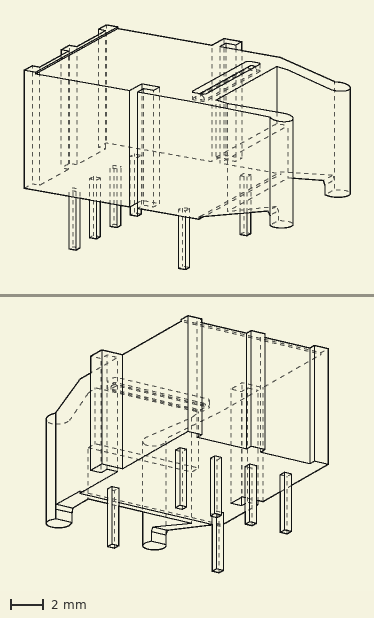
import cadquery as cq
import math

body_length = 12.22
body_width = 10.2
body_height = 7.5
mid_y = body_width / 2

plate_height = 7.61
plate_thickness = 0.8
rib_depth = 0.52
rib_width = 1.0

hook_x = 7.41
hook_neck = 0.55
hook_length = 1.25
hook_reach = 1.5
hook_lip = 0.75

window_x = 11.3
window_length = 7.0
window_width = 0.99
window_corner = 0.23
window_depth = 0.47
bar_length = 6.5
bar_width = 0.63

wall_x = 12.82
shelf_x = 13.6
shelf_height = body_height / 2

front_root_inset = 1.2
front_neck_inset = 1.15
front_tip_x = 17.16
front_tip_inset = 1.63
front_tip_radius = 0.72
back_root_inset = 1.47
back_neck_inset = 1.05
back_tip_x = 17.2
back_tip_inset = 1.62
back_tip_radius = 0.75
arm_neck_x = 16.62

taper_top_end = 6.8
overall_length = back_tip_x + back_tip_radius
taper_bottom_start_x = body_length + 0.05
taper_bottom_start_z = 0.15
taper_bottom_end_x = 16.5
taper_bottom_end_z = 0.9
notch_corner_z = 0.63

pin_size = 0.5
pin_drop = 3.79
pin_row_x = 2.8
pin_row_span = 7.61
pins_in_row = 4
pin_pitch = pin_row_span / (pins_in_row - 1)
outer_pins_x = 10.5


def block(x0, x1, y0, y1, z0, z1):
    return cq.Workplane("XY").box(x1 - x0, y1 - y0, z1 - z0, centered=False).translate((x0, y0, z0))


def hook(base_y):
    """L-shaped hook standing on the line y = base_y and opening toward +X."""
    outline = [
        (hook_x, base_y),
        (hook_x + hook_neck, base_y),
        (hook_x + hook_neck, base_y + hook_reach - hook_lip),
        (hook_x + hook_length, base_y + hook_reach - hook_lip),
        (hook_x + hook_length, base_y + hook_reach),
        (hook_x, base_y + hook_reach),
    ]
    return cq.Workplane("XY").polyline(outline).close().extrude(body_height)


def housing():
    solid = block(rib_depth, body_length, 0, body_width, 0, body_height)
    solid = solid.union(block(rib_depth, plate_thickness, 0, body_width, 0, plate_height))
    for rib_y in (0, mid_y - rib_width / 2, body_width - rib_width):
        solid = solid.union(block(0, plate_thickness, rib_y, rib_y + rib_width, 0, plate_height))
    return solid.union(hook(body_width)).cut(hook(0))


def window():
    floor_z = body_height - window_depth
    pocket = block(
        window_x - window_width / 2, window_x + window_width / 2,
        mid_y - window_length / 2, mid_y + window_length / 2, floor_z, body_height,
    ).edges("|Z").fillet(window_corner)
    bar_start_y = mid_y - bar_length / 2
    bar_start = (window_x, bar_start_y, floor_z)
    bar = cq.Workplane("XZ", origin=bar_start).circle(bar_width / 2).extrude(-bar_length)
    return pocket.cut(bar)


def latch_arm(root_inset, neck_inset, tip_x, tip_inset, tip_radius):
    """Full-height arm on the -Y side; its inner flank runs tangent into the round tip."""
    root_to_tip_x = tip_x - shelf_x
    root_to_tip_y = tip_inset - root_inset
    distance = math.hypot(root_to_tip_x, root_to_tip_y)
    flank_angle = math.atan2(root_to_tip_y, root_to_tip_x) + math.asin(tip_radius / distance)
    tangent = (
        tip_x - tip_radius * math.sin(flank_angle),
        tip_inset + tip_radius * math.cos(flank_angle),
    )
    outline = [
        (body_length, 0),
        (arm_neck_x, neck_inset),
        (tip_x, tip_inset),
        tangent,
        (shelf_x, root_inset),
        (body_length, root_inset),
    ]
    arm = cq.Workplane("XY").polyline(outline).close().extrude(body_height)
    tip = cq.Workplane("XY").center(tip_x, tip_inset).circle(tip_radius).extrude(body_height)
    return arm.union(tip)


def nose():
    front_arm = latch_arm(
        front_root_inset, front_neck_inset, front_tip_x, front_tip_inset, front_tip_radius
    )
    back_arm = latch_arm(
        back_root_inset, back_neck_inset, back_tip_x, back_tip_inset, back_tip_radius
    ).mirror("XZ", (0, mid_y, 0))
    inner_y = body_width - back_root_inset
    wall = block(body_length, wall_x, front_root_inset, inner_y, 0, body_height)
    shelf = block(body_length, shelf_x, front_root_inset, inner_y, 0, shelf_height)
    side_profile = [
        (body_length, 0),
        (taper_bottom_start_x, 0),
        (taper_bottom_start_x, taper_bottom_start_z),
        (taper_bottom_end_x, taper_bottom_end_z),
        (arm_neck_x, notch_corner_z),
        (arm_neck_x, 0),
        (overall_length, 0),
        (overall_length, taper_top_end),
        (body_length, body_height),
    ]
    envelope = cq.Workplane("XZ").polyline(side_profile).close().extrude(-body_width)
    return front_arm.union(back_arm).union(wall).union(shelf).intersect(envelope)


def pins():
    """A full row near the ribbed plate, and only the two outermost positions near the nose."""
    first_y = mid_y - pin_row_span / 2
    last_y = mid_y + pin_row_span / 2
    centers = [(pin_row_x, first_y + i * pin_pitch) for i in range(pins_in_row)]
    centers += [(outer_pins_x, first_y), (outer_pins_x, last_y)]
    return cq.Workplane("XY").pushPoints(centers).rect(pin_size, pin_size).extrude(-pin_drop)


result = housing().cut(window()).union(nose()).union(pins())